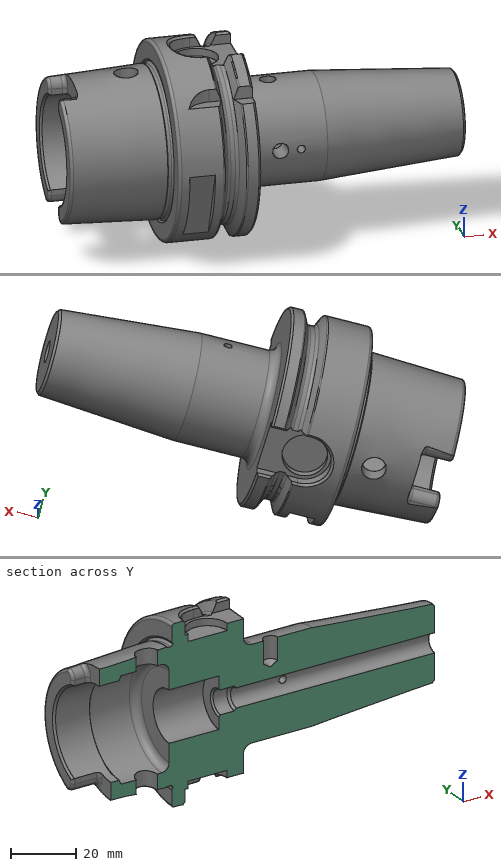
import cadquery as cq
import math


SHANK_LENGTH = 32.0
SHANK_ROOT_RADIUS = 24.2
SHANK_TIP_RADIUS = 22.7
TIP_ROUND = 1.0

RELIEF_RADIUS = 23.9
RELIEF_LENGTH = 1.7
RELIEF_DEPTH = 0.4
RELIEF_ROUND = 0.8
RELIEF_RIM_RADIUS = 25.3

MOUTH_RADIUS = 17.0
MOUTH_DEPTH = 13.0
MOUTH_CHAMFER = 0.7
CHAMBER_RADIUS = 18.5
CHAMBER_DEPTH = 31.0
SHOULDER_ANGLE = 60.0
FLOOR_ROUND = 2.7
THREAD_RADIUS = 9.1
THREAD_LENGTH = 18.0
THROUGH_RADIUS = 3.4
COUNTERSINK_RADIUS = 4.8
PILOT_RADIUS = 4.2
PILOT_LENGTH = 5.0

DRIVE_HALF_WIDTH = 6.2
DRIVE_CORNER_RADIUS = 2.9
DRIVE_CORNER_Z = 17.8
DRIVE_DEPTH_TOP = 5.8
DRIVE_DEPTH_BOTTOM = 10.0
DRIVE_FLOOR_ROUND = 1.3

CROSS_HOLE_RADIUS = 3.75
CROSS_HOLE_X = -9.0

FLANGE_RADIUS = 31.5
FLANGE_WIDTH = 26.0
FLANGE_BACK_ROUND = 1.0
FLANGE_FRONT_CHAMFER = 0.7

GROOVE_X = 18.1
GROOVE_FLOOR_RADIUS = 27.5
GROOVE_TOP_HALF_WIDTH = 3.5
GROOVE_FLANK_ANGLE = 27.0
GROOVE_FLOOR_ROUND = 1.2
GROOVE_EDGE_ROUND = 0.5

KEYWAY_RADIUS = 8.1
KEYWAY_X = 13.0
KEYWAY_FLOOR_Z = 26.5
KEYWAY_CHAMFER = 0.8
CHIP_RADIUS = 7.0
CHIP_DEPTH = 2.5

NOTCH_CORNER = 20.15
NOTCH_CUTTER_RADIUS = 8.5
NOTCH_CUTTER_X = 12.2

LABEL_START_X = 3.5
LABEL_LENGTH = 8.0
LABEL_TILT = 22.0
LABEL_FLAT_DISTANCE = 29.0

NOSE_LENGTH = 95.0
NOSE_RADIUS = 17.0
NOSE_ROOT_ROUND = 3.0
NOSE_TIP_RADIUS = 13.5
NOSE_TAPER_ANGLE = 4.5
NOSE_TIP_CHAMFER = 0.8

SCREW_HOLE_X = 35.7
SCREW_HOLE_RADIUS = 2.5
SCREW_HOLE_DEPTH = 8.0
DRILL_POINT_ANGLE = 118.0
VENT_X = 42.2
VENT_RADIUS = 1.25

CLEAR = 40.0
MARGIN = 1.0


def revolve_about_x(sketch):
    """Spin a profile drawn in (x, radius) about the X axis."""
    return sketch.close().revolve(360, (0, 0, 0), (1, 0, 0))


def profile(x, radius):
    return cq.Workplane("XY").moveTo(x, radius)


def rod(plane, center, radius, length):
    """Cylinder from a point of a plane along the plane's normal."""
    return cq.Workplane(plane, origin=center).circle(radius).extrude(length)


def corner_inset(radius):
    """How far the middle of a quarter-circle corner lies inside each of its two sides."""
    return radius * (1 - math.sqrt(0.5))


def cut_drive_slots(body):
    """Slots open to the shank end, flaring outward over a rounded shoulder."""
    flare_y = DRIVE_HALF_WIDTH + DRIVE_CORNER_RADIUS
    flare_z = DRIVE_CORNER_Z + DRIVE_CORNER_RADIUS
    corner = corner_inset(DRIVE_CORNER_RADIUS)
    arc_y = DRIVE_HALF_WIDTH + corner
    arc_z = flare_z - corner
    for side, depth in ((1, DRIVE_DEPTH_TOP), (-1, DRIVE_DEPTH_BOTTOM)):
        cutter = (
            cq.Workplane("YZ", origin=(-SHANK_LENGTH - CLEAR, 0, 0))
            .moveTo(DRIVE_HALF_WIDTH, 0)
            .lineTo(DRIVE_HALF_WIDTH, side * DRIVE_CORNER_Z)
            .threePointArc((arc_y, side * arc_z), (flare_y, side * flare_z))
            .lineTo(CLEAR, side * flare_z)
            .lineTo(CLEAR, side * CLEAR)
            .lineTo(-CLEAR, side * CLEAR)
            .lineTo(-CLEAR, side * flare_z)
            .lineTo(-flare_y, side * flare_z)
            .threePointArc((-arc_y, side * arc_z), (-DRIVE_HALF_WIDTH, side * DRIVE_CORNER_Z))
            .lineTo(-DRIVE_HALF_WIDTH, 0)
            .close()
            .extrude(CLEAR + depth)
        )
        inner = cq.selectors.BoxSelector(
            (-SHANK_LENGTH, -CLEAR + MARGIN, side * MARGIN),
            (0, CLEAR - MARGIN, side * (CLEAR - MARGIN)),
        )
        cutter = cutter.edges(inner).fillet(DRIVE_FLOOR_ROUND)
        body = body.cut(cutter)
    return body


def make_shank():
    shank = revolve_about_x(
        profile(-SHANK_LENGTH, 0)
        .lineTo(-SHANK_LENGTH, SHANK_TIP_RADIUS)
        .lineTo(0, SHANK_ROOT_RADIUS)
        .lineTo(0, 0)
    )
    shank = cut_drive_slots(shank)
    return shank.faces("<X").edges().fillet(TIP_ROUND)


def cut_corner_relief(body):
    """Undercut running from the end of the taper into the flange face."""
    slope = (SHANK_ROOT_RADIUS - SHANK_TIP_RADIUS) / SHANK_LENGTH
    start_radius = SHANK_ROOT_RADIUS - slope * RELIEF_LENGTH
    round_inset = corner_inset(RELIEF_ROUND)
    ring = revolve_about_x(
        profile(-RELIEF_LENGTH, start_radius)
        .lineTo(start_radius - RELIEF_LENGTH - RELIEF_RADIUS, RELIEF_RADIUS)
        .lineTo(RELIEF_DEPTH - RELIEF_ROUND, RELIEF_RADIUS)
        .threePointArc(
            (RELIEF_DEPTH - round_inset, RELIEF_RADIUS + round_inset),
            (RELIEF_DEPTH, RELIEF_RADIUS + RELIEF_ROUND),
        )
        .lineTo(0, RELIEF_RIM_RADIUS)
        .lineTo(-RELIEF_LENGTH, RELIEF_RIM_RADIUS)
    )
    return body.cut(ring)


def make_nose():
    taper_length = (NOSE_RADIUS - NOSE_TIP_RADIUS) / math.tan(math.radians(NOSE_TAPER_ANGLE))
    root_inset = corner_inset(NOSE_ROOT_ROUND)
    nose = revolve_about_x(
        profile(FLANGE_WIDTH - MARGIN, 0)
        .lineTo(FLANGE_WIDTH - MARGIN, NOSE_RADIUS + NOSE_ROOT_ROUND)
        .lineTo(FLANGE_WIDTH, NOSE_RADIUS + NOSE_ROOT_ROUND)
        .threePointArc(
            (FLANGE_WIDTH + root_inset, NOSE_RADIUS + root_inset),
            (FLANGE_WIDTH + NOSE_ROOT_ROUND, NOSE_RADIUS),
        )
        .lineTo(NOSE_LENGTH - taper_length, NOSE_RADIUS)
        .lineTo(NOSE_LENGTH, NOSE_TIP_RADIUS)
        .lineTo(NOSE_LENGTH, 0)
    )
    return nose.faces(">X").edges().chamfer(NOSE_TIP_CHAMFER)


def cut_keyways(flange):
    """Round-ended keyway with a chamfered rim and a round chip pocket, on both sides."""
    for side in (1, -1):
        floor = cq.Workplane("XY", origin=(0, 0, side * KEYWAY_FLOOR_Z))
        cutter = (
            floor.moveTo(KEYWAY_X, KEYWAY_RADIUS)
            .threePointArc((KEYWAY_X - KEYWAY_RADIUS, 0), (KEYWAY_X, -KEYWAY_RADIUS))
            .lineTo(KEYWAY_X + CLEAR, -KEYWAY_RADIUS)
            .lineTo(KEYWAY_X + CLEAR, KEYWAY_RADIUS)
            .close()
            .extrude(side * CLEAR)
        )
        flange = flange.cut(cutter)
        reach = KEYWAY_RADIUS + MARGIN
        rim = cq.selectors.BoxSelector(
            (KEYWAY_X - reach, -reach, side * (KEYWAY_FLOOR_Z + MARGIN)),
            (FLANGE_WIDTH - MARGIN, reach, side * CLEAR),
        )
        flange = flange.edges(rim).chamfer(KEYWAY_CHAMFER)
        chip_top = (KEYWAY_X, 0, side * KEYWAY_FLOOR_Z)
        flange = flange.cut(rod("XY", chip_top, CHIP_RADIUS, -side * CHIP_DEPTH))
    return flange


def groove_half_profile():
    """Arc and line corners of one groove flank, as (distance from groove middle, radius)."""
    angle = math.radians(GROOVE_FLANK_ANGLE)
    flank_run = (FLANGE_RADIUS - GROOVE_FLOOR_RADIUS) * math.tan(angle)
    turn = math.pi / 2 - angle
    floor_tangent = GROOVE_FLOOR_ROUND * math.tan(turn / 2)
    rim_tangent = GROOVE_EDGE_ROUND * math.tan(turn / 2)
    floor_center = GROOVE_TOP_HALF_WIDTH - flank_run - floor_tangent
    rim_center = GROOVE_TOP_HALF_WIDTH + rim_tangent

    def floor_point(swing):
        rise = GROOVE_FLOOR_ROUND * (1 - math.cos(swing))
        return (floor_center + GROOVE_FLOOR_ROUND * math.sin(swing), GROOVE_FLOOR_RADIUS + rise)

    def rim_point(swing):
        drop = GROOVE_EDGE_ROUND * (1 - math.cos(swing))
        return (rim_center - GROOVE_EDGE_ROUND * math.sin(swing), FLANGE_RADIUS - drop)

    floor_arc = [floor_point(swing) for swing in (0, turn / 2, turn)]
    rim_arc = [rim_point(swing) for swing in (turn, turn / 2, 0)]
    return floor_arc, rim_arc


def cut_groove(flange):
    floor_arc, rim_arc = groove_half_profile()

    def left(point):
        return (GROOVE_X - point[0], point[1])

    def right(point):
        return (GROOVE_X + point[0], point[1])

    rim_end = rim_arc[2][0]
    ring = revolve_about_x(
        profile(*left(floor_arc[0]))
        .threePointArc(left(floor_arc[1]), left(floor_arc[2]))
        .lineTo(*left(rim_arc[0]))
        .threePointArc(left(rim_arc[1]), left(rim_arc[2]))
        .lineTo(*left((rim_end, CLEAR)))
        .lineTo(*right((rim_end, CLEAR)))
        .lineTo(*right(rim_arc[2]))
        .threePointArc(right(rim_arc[1]), right(rim_arc[0]))
        .lineTo(*right(floor_arc[2]))
        .threePointArc(right(floor_arc[1]), right(floor_arc[0]))
    )
    return flange.cut(ring)


def cut_notch(flange):
    """Square shoulder cut whose blind end is the sweep of a round cutter."""
    wall_y = -NOTCH_CORNER
    axis_y = wall_y - NOTCH_CUTTER_RADIUS
    cutter = (
        cq.Workplane("XY", origin=(0, 0, NOTCH_CORNER))
        .moveTo(NOTCH_CUTTER_X, wall_y)
        .threePointArc(
            (NOTCH_CUTTER_X - NOTCH_CUTTER_RADIUS, axis_y),
            (NOTCH_CUTTER_X, axis_y - NOTCH_CUTTER_RADIUS),
        )
        .lineTo(CLEAR, axis_y - NOTCH_CUTTER_RADIUS)
        .lineTo(CLEAR, wall_y)
        .close()
        .extrude(CLEAR)
    )
    return flange.cut(cutter)


def cut_label_flat(flange):
    cutter = (
        cq.Workplane("XY")
        .box(LABEL_LENGTH, CLEAR, 2 * CLEAR, centered=(False, False, True))
        .translate((LABEL_START_X, -LABEL_FLAT_DISTANCE - CLEAR, 0))
        .rotate((0, 0, 0), (1, 0, 0), LABEL_TILT)
    )
    return flange.cut(cutter)


def make_flange():
    flange = rod("YZ", (0, 0, 0), FLANGE_RADIUS, FLANGE_WIDTH)
    flange = cut_keyways(flange)
    flange = cut_groove(flange)
    flange = flange.intersect(
        rod("YZ", (0, 0, 0), FLANGE_RADIUS, FLANGE_WIDTH)
        .faces("<X").edges().fillet(FLANGE_BACK_ROUND)
        .faces(">X").edges().chamfer(FLANGE_FRONT_CHAMFER)
    )
    flange = cut_notch(flange)
    return cut_label_flat(flange)


def cut_bore(body):
    mouth_x = -SHANK_LENGTH
    floor_x = mouth_x + CHAMBER_DEPTH
    shoulder_x = mouth_x + MOUTH_DEPTH
    shoulder_run = (CHAMBER_RADIUS - MOUTH_RADIUS) / math.tan(math.radians(SHOULDER_ANGLE))
    round_inset = corner_inset(FLOOR_ROUND)
    thread_end_x = floor_x + THREAD_LENGTH
    pilot_x = thread_end_x + COUNTERSINK_RADIUS - PILOT_RADIUS
    pilot_end_x = pilot_x + PILOT_LENGTH
    bore = revolve_about_x(
        profile(mouth_x, 0)
        .lineTo(mouth_x, MOUTH_RADIUS + MOUTH_CHAMFER)
        .lineTo(mouth_x + MOUTH_CHAMFER, MOUTH_RADIUS)
        .lineTo(shoulder_x, MOUTH_RADIUS)
        .lineTo(shoulder_x + shoulder_run, CHAMBER_RADIUS)
        .lineTo(floor_x - FLOOR_ROUND, CHAMBER_RADIUS)
        .threePointArc(
            (floor_x - round_inset, CHAMBER_RADIUS - round_inset),
            (floor_x, CHAMBER_RADIUS - FLOOR_ROUND),
        )
        .lineTo(floor_x, THREAD_RADIUS)
        .lineTo(thread_end_x, THREAD_RADIUS)
        .lineTo(thread_end_x, COUNTERSINK_RADIUS)
        .lineTo(pilot_x, PILOT_RADIUS)
        .lineTo(pilot_end_x, PILOT_RADIUS)
        .lineTo(pilot_end_x + PILOT_RADIUS - THROUGH_RADIUS, THROUGH_RADIUS)
        .lineTo(NOSE_LENGTH, THROUGH_RADIUS)
        .lineTo(NOSE_LENGTH, 0)
    )
    return body.cut(bore)


def cut_screw_holes(body):
    point_length = SCREW_HOLE_RADIUS / math.tan(math.radians(DRILL_POINT_ANGLE / 2))
    bottom = NOSE_RADIUS - SCREW_HOLE_DEPTH
    drill = (
        cq.Workplane("XZ")
        .moveTo(0, bottom - point_length)
        .lineTo(SCREW_HOLE_RADIUS, bottom)
        .lineTo(SCREW_HOLE_RADIUS, CLEAR)
        .lineTo(0, CLEAR)
        .close()
        .revolve(360, (0, 0, 0), (0, 1, 0))
        .translate((SCREW_HOLE_X, 0, 0))
    )
    for angle in (0, 90):
        body = body.cut(drill.rotate((0, 0, 0), (1, 0, 0), angle))
    return body


def cut_cross_holes(body):
    cross = rod("XY", (CROSS_HOLE_X, 0, -CLEAR), CROSS_HOLE_RADIUS, 2 * CLEAR)
    vent = rod("XZ", (VENT_X, CLEAR, 0), VENT_RADIUS, 2 * CLEAR)
    return body.cut(cross).cut(vent)


body = make_flange().union(make_shank()).union(make_nose())
body = cut_corner_relief(body)
body = cut_bore(body)
body = cut_cross_holes(body)
result = cut_screw_holes(body)